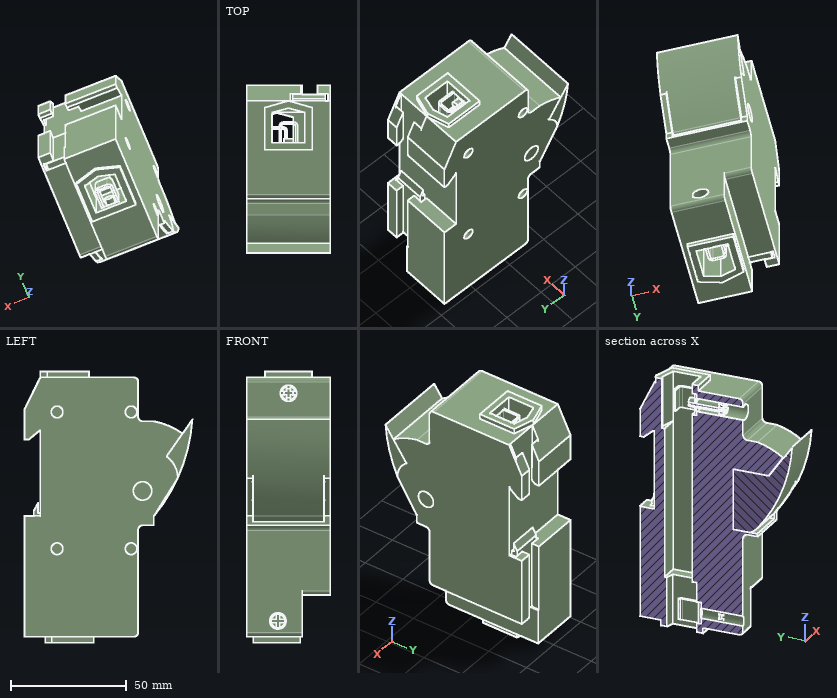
import cadquery as cq
import math


width = 36.0
total_height = 117.0
housing_height = 112.0
collar_height = (total_height - housing_height) / 2
body_depth = 49.0
nose_depth = 55.8
nose_bottom = 48.1
nose_top = 93.0
edge_radius = 2.0
step_x = 24.0
step_z = 18.0

rail_depth = 6.8
rail_bottom = 52.2
rail_top = 89.2
hook_bottom = 85.1
hook_lip = 1.9
back_slope_bottom = 98.2

clip_x = 26.9
channel_width = 16.3
channel_mouth_width = 7.0
channel_depth = 3.7
clip_back_depth = 4.0
clip_width = 14.0
clip_shoulder_top = 53.5
clip_back_top = 54.4
clip_tip_top = 57.8
clip_tip_depth = 5.8

side_hole_diameter = 5.0
side_hole_length = 5.8
side_hole_depths = (14.0, 46.0)
side_hole_heights = (38.0, 97.0)

tip_depth = 72.4
tip_z = 93.8
front_arc_center_z = 98.5
front_arc_radius = math.hypot(tip_depth, tip_z - front_arc_center_z)
front_arc_bottom = 52.2
curl_radius = 23.0 / 2
seat_center_z = 68.5
seat_corner_angle = 54.5
nose_meets_grip = 0.62
nose_arc_rise = 0.7
pivot_diameter = 8.0
pivot_depth = 50.9
pivot_z = 63.0
cheek_thickness = 2.6
tongue_inset = 2.9
pocket_floor = 49.6
pocket_back_depth = 44.5

wire_half_width = 7.0
wire_peak_depth = 10.0
wire_eave_depth = 11.8
wire_front_depth = 24.8
collar_half_width = 10.2
collar_eave_depth = 9.7
collar_front_depth = 27.8
well_length = 23.4
cage_width = 8.0
cage_back_depth = 15.9
cage_front_depth = 26.9
cage_height = 9.8
cage_wall = 0.9
cage_corner_radius = 1.9
screw_inset = 6.9
screw_bore_diameter = 7.0
shank_diameter = 4.0
head_diameter = 6.0
head_thickness = 2.3
head_front_depth = 39.8
cross_slot_width = 1.5
bottom_slot_depth = 1.2
screw_tip_depth = 23.0
bottom_depth_shift = 2.1
center_x = width / 2
bottom_terminal_x = 13.5
bottom_opening_x = 13.0


def side(depth, z):
    """Point on the YZ plane at a depth in front of the back face."""
    return (-depth, z)


def on_circle(depth, z, radius, degrees):
    """Point on a YZ circle; 0 degrees faces forward and 90 degrees faces up."""
    angle = math.radians(degrees)
    return side(depth + radius * math.cos(angle), z + radius * math.sin(angle))


def front_arc_depth(z):
    """Depth of the handle's curved front at a height."""
    return math.sqrt(front_arc_radius**2 - (z - front_arc_center_z) ** 2)


def front_arc_middle(z_a, z_b):
    """Point of the handle's curved front midway in height."""
    z = (z_a + z_b) / 2
    return side(front_arc_depth(z), z)


def box(x_range, depth_range, z_range):
    """Box between two X, two depths and two heights."""
    size = (x_range[1] - x_range[0], depth_range[1] - depth_range[0], z_range[1] - z_range[0])
    corner = (x_range[0], -depth_range[1], z_range[0])
    return cq.Workplane("XY").box(*size, centered=False).translate(corner)


def side_cylinder(depth, z, diameter, x_start, length):
    """Cylinder along X."""
    plane = cq.Workplane("YZ").workplane(offset=x_start)
    return plane.center(-depth, z).circle(diameter / 2).extrude(length)


def front_cylinder(x, z, diameter, back_depth, front_depth):
    """Cylinder along Y between two depths."""
    plane = cq.Workplane("XZ", origin=(0, -back_depth, 0))
    return plane.center(x, z).circle(diameter / 2).extrude(front_depth - back_depth)


tip = side(tip_depth, tip_z)
seat_end_depth = front_arc_depth(seat_center_z)
seat_center_depth = seat_end_depth - curl_radius
seat_end = side(seat_end_depth, seat_center_z)
seat_middle = on_circle(seat_center_depth, seat_center_z, curl_radius, seat_corner_angle / 2)
seat_corner = on_circle(seat_center_depth, seat_center_z, curl_radius, seat_corner_angle)
seat_corner_depth = -seat_corner[0]
seat_corner_z = seat_corner[1]




def housing_slab(bottom, x_start, x_end):
    """Housing side outline above a bottom height, extruded between two X."""
    r = edge_radius
    grip_depth = seat_corner_depth + nose_meets_grip * (tip_depth - seat_corner_depth)
    grip_z = seat_corner_z + nose_meets_grip * (tip_z - seat_corner_z)
    chord_depth = grip_depth - nose_depth
    chord_drop = nose_top - grip_z
    chord = math.hypot(chord_depth, chord_drop)
    nose_middle = side(
        (nose_depth + grip_depth) / 2 + nose_arc_rise * chord_drop / chord,
        (nose_top + grip_z) / 2 + nose_arc_rise * chord_depth / chord,
    )
    outline = (
        cq.Workplane("YZ").workplane(offset=x_start)
        .moveTo(*side(0, bottom))
        .lineTo(*side(0, rail_bottom))
        .lineTo(*side(rail_depth, rail_bottom))
        .lineTo(*side(rail_depth, rail_top))
        .lineTo(*side(hook_lip, hook_bottom))
        .lineTo(*side(0, hook_bottom))
        .lineTo(*side(0, back_slope_bottom))
        .lineTo(*side(rail_depth, housing_height))
        .lineTo(*side(body_depth - r, housing_height))
        .threePointArc(
            on_circle(body_depth - r, housing_height - r, r, 45),
            side(body_depth, housing_height - r),
        )
        .lineTo(*side(body_depth, nose_top + r))
        .threePointArc(on_circle(body_depth + r, nose_top + r, r, 225), side(body_depth + r, nose_top))
        .lineTo(*side(nose_depth, nose_top))
        .threePointArc(nose_middle, side(grip_depth, grip_z))
        .lineTo(*seat_corner)
        .threePointArc(seat_middle, seat_end)
        .lineTo(*side(nose_depth, front_arc_bottom))
        .lineTo(*side(nose_depth, nose_bottom))
        .lineTo(*side(body_depth + r, nose_bottom))
        .threePointArc(on_circle(body_depth + r, nose_bottom - r, r, 135), side(body_depth, nose_bottom - r))
        .lineTo(*side(body_depth, bottom + r))
        .threePointArc(on_circle(body_depth - r, bottom + r, r, -45), side(body_depth - r, bottom))
        .close()
    )
    return outline.extrude(x_end - x_start)


def gabled_prism(x, half_width, depths, z_start, z_end):
    """Upright five-sided prism with its ridge at the back; depths are peak, eaves and front."""
    peak, eave, front = depths
    points = [
        (x, -peak),
        (x + half_width, -eave),
        (x + half_width, -front),
        (x - half_width, -front),
        (x - half_width, -eave),
    ]
    return cq.Workplane("XY").workplane(offset=z_start).polyline(points).close().extrude(z_end - z_start)


def collar(x, shift, z_start):
    depths = [depth + shift for depth in (rail_depth, collar_eave_depth, collar_front_depth)]
    return gabled_prism(x, collar_half_width, depths, z_start, z_start + collar_height)


def wire_well(x, shift, z_start):
    depths = [depth + shift for depth in (wire_peak_depth, wire_eave_depth, wire_front_depth)]
    return gabled_prism(x, wire_half_width, depths, z_start, z_start + well_length)


def clip_channel():
    """T-shaped channel up the back, ending level with the corner step."""
    half_mouth = channel_mouth_width / 2
    half_channel = channel_width / 2
    heights = (step_z, housing_height)
    mouth = box((clip_x - half_mouth, clip_x + half_mouth), (0, channel_depth), heights)
    wide = box((clip_x - half_channel, clip_x + half_channel), (channel_depth, rail_depth), heights)
    return mouth.union(wide)


def terminal_cavity(x, z, shift):
    """Recess for the cage and the screwdriver bore in front of it."""
    half_width = cage_width / 2
    half_height = cage_height / 2
    recess = box(
        (x - half_width, x + half_width),
        (cage_back_depth + shift, cage_front_depth + shift),
        (z - half_height, z + half_height),
    )
    return recess.union(front_cylinder(x, z, screw_bore_diameter, cage_front_depth + shift, body_depth))


def make_housing():
    body = housing_slab(0, 0, step_x).union(housing_slab(step_z, step_x, width))
    body = body.union(collar(center_x, 0, housing_height))
    body = body.union(collar(bottom_opening_x, bottom_depth_shift, -collar_height))

    top_well_end = housing_height + collar_height - well_length
    bottom_well_end = well_length - collar_height
    body = body.cut(wire_well(center_x, 0, top_well_end))
    body = body.cut(wire_well(bottom_opening_x, bottom_depth_shift, -collar_height))
    body = body.cut(box(
        (center_x - wire_half_width, center_x + wire_half_width),
        (wire_eave_depth, wire_front_depth),
        (bottom_well_end, top_well_end),
    ))
    for x, z, shift, _ in terminal_places:
        body = body.cut(terminal_cavity(x, z, shift))

    body = body.cut(clip_channel())
    for depth in side_hole_depths:
        for z in side_hole_heights:
            body = body.cut(side_cylinder(depth, z, side_hole_diameter, 0, side_hole_length))

    pocket_x = (cheek_thickness, width - cheek_thickness)
    body = body.cut(box(pocket_x, (pocket_back_depth, tip_depth), (pocket_floor, seat_corner_z)))
    return body.cut(side_cylinder(pivot_depth, pivot_z, pivot_diameter, 0, width))




def make_handle():
    """Full-width grip over a tongue that fills the pocket and turns on the pivot."""
    grip = (
        cq.Workplane("YZ")
        .moveTo(*seat_corner)
        .lineTo(*tip)
        .threePointArc(front_arc_middle(tip_z, seat_center_z), seat_end)
        .threePointArc(seat_middle, seat_corner)
        .close()
        .extrude(width)
    )

    curl_start_depth = front_arc_depth(front_arc_bottom)
    curl_start_angle = math.degrees(math.atan2(front_arc_bottom - front_arc_center_z, curl_start_depth))
    lean = 1 - curl_radius / front_arc_radius
    curl_center_depth = curl_start_depth * lean
    curl_center_z = front_arc_center_z + (front_arc_bottom - front_arc_center_z) * lean
    curl_end_angle = -math.degrees(math.asin((curl_center_z - pocket_floor) / curl_radius))
    curl_middle_angle = (curl_start_angle + curl_end_angle) / 2
    tongue = (
        cq.Workplane("YZ").workplane(offset=tongue_inset)
        .moveTo(*seat_corner)
        .threePointArc(seat_middle, seat_end)
        .threePointArc(
            front_arc_middle(seat_center_z, front_arc_bottom),
            side(curl_start_depth, front_arc_bottom),
        )
        .threePointArc(
            on_circle(curl_center_depth, curl_center_z, curl_radius, curl_middle_angle),
            on_circle(curl_center_depth, curl_center_z, curl_radius, curl_end_angle),
        )
        .lineTo(*side(pocket_back_depth, pocket_floor))
        .lineTo(*side(pocket_back_depth, seat_corner_z))
        .close()
        .extrude(width - 2 * tongue_inset)
    )
    pivot = side_cylinder(pivot_depth, pivot_z, pivot_diameter, 0, width)
    return tongue.union(grip).union(pivot)




def make_clip():
    """Flat slider with a hooked upper end."""
    points = [
        side(rail_depth, step_z),
        side(rail_depth, clip_shoulder_top),
        side(clip_tip_depth, clip_shoulder_top),
        side(clip_tip_depth, clip_tip_top),
        side(clip_back_depth, clip_back_top),
        side(clip_back_depth, step_z),
    ]
    plane = cq.Workplane("YZ").workplane(offset=clip_x - clip_width / 2)
    return plane.polyline(points).close().extrude(clip_width)




def make_terminal(x, z, shift, slot_depth):
    """Ring-shaped wire cage with its clamping screw."""
    cage_depth = cage_front_depth - cage_back_depth
    middle_y = -(cage_front_depth + cage_back_depth) / 2 - shift
    cage = (
        cq.Workplane("XY", origin=(x, middle_y, z))
        .box(cage_width, cage_depth, cage_height)
        .edges("|Z").fillet(cage_corner_radius)
    )
    opening = (
        cq.Workplane("XY", origin=(x, middle_y, z))
        .box(cage_width - 2 * cage_wall, cage_depth - 2 * cage_wall, cage_height)
        .edges("|Z").fillet(cage_corner_radius - cage_wall)
    )
    head_back = head_front_depth - head_thickness
    shank = front_cylinder(x, z, shank_diameter, screw_tip_depth + shift, head_back)
    head = front_cylinder(x, z, head_diameter, head_back, head_front_depth)
    half_slot = cross_slot_width / 2
    half_head = head_diameter / 2
    for half_x, half_z in ((half_head, half_slot), (half_slot, half_head)):
        head = head.cut(box(
            (x - half_x, x + half_x),
            (head_front_depth - slot_depth, head_front_depth),
            (z - half_z, z + half_z),
        ))
    return cage.cut(opening).union(shank.union(head))


terminal_places = (
    (center_x, housing_height - screw_inset, 0, head_thickness),
    (bottom_terminal_x, screw_inset, bottom_depth_shift, bottom_slot_depth),
)

housing = make_housing()
handle = make_handle()
clip = make_clip()
terminals = [make_terminal(*place).val() for place in terminal_places]

result = cq.Compound.makeCompound([housing.val(), handle.val(), clip.val(), *terminals])